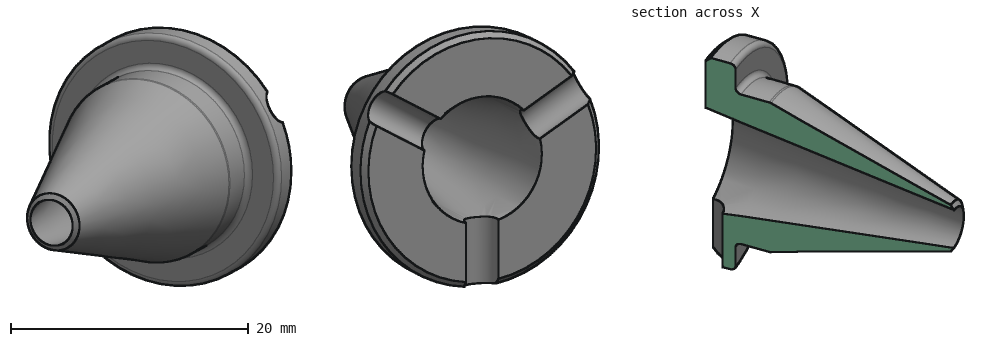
import cadquery as cq

length = 23.0
flange_diameter = 22.0
flange_thickness = 2.8
neck_diameter = 16.0
neck_length = 3.2
tip_diameter = 5.0
tip_chamfer_length = 0.3
edge_size = 0.5

bore_tip_diameter = 4.0
bore_back_diameter = 11.0

notch_count = 3
notch_radius = 1.5
notch_depth = 1.56
notch_first_angle = 30.0

back_y = length / 2
tip_y = -length / 2
flange_y = back_y - flange_thickness
neck_y = flange_y - neck_length


def revolve_about_axis(profile):
    """Solid of revolution about Y from a closed outline of (radius, y) points."""
    return cq.Workplane("XY").polyline(profile).close().revolve(360, (0, 0, 0), (0, 1, 0))


def edges_at(y):
    """Selector for every edge lying in the plane at the given y."""
    reach = flange_diameter
    tolerance = 0.02
    return cq.selectors.BoxSelector(
        (-reach, y - tolerance, -reach),
        (reach, y + tolerance, reach),
    )


def make_body():
    """Solid flange, neck and cone, ending in a chamfered tip as wide as the bore."""
    body = revolve_about_axis([
        (0, back_y),
        (flange_diameter / 2, back_y),
        (flange_diameter / 2, flange_y),
        (neck_diameter / 2, flange_y),
        (neck_diameter / 2, neck_y),
        (tip_diameter / 2, tip_y + tip_chamfer_length),
        (bore_tip_diameter / 2, tip_y),
        (0, tip_y),
    ])
    body = body.edges(edges_at(back_y)).chamfer(edge_size)
    body = body.edges(edges_at(flange_y)).fillet(edge_size)
    return body.edges(edges_at(neck_y)).fillet(edge_size)


def make_bore():
    """Tapered bore, widening from the tip to the back face."""
    return revolve_about_axis([
        (0, tip_y),
        (bore_tip_diameter / 2, tip_y),
        (bore_back_diameter / 2, back_y),
        (0, back_y),
    ])


def make_notch(angle):
    """Round radial groove across the back face, from the axis out past the rim."""
    center_y = back_y - notch_depth + notch_radius
    groove = cq.Workplane("YZ").center(center_y, 0).circle(notch_radius).extrude(flange_diameter)
    return groove.rotate((0, 0, 0), (0, 1, 0), -angle)


result = make_body().cut(make_bore())
for index in range(notch_count):
    result = result.cut(make_notch(notch_first_angle + index * 360 / notch_count))